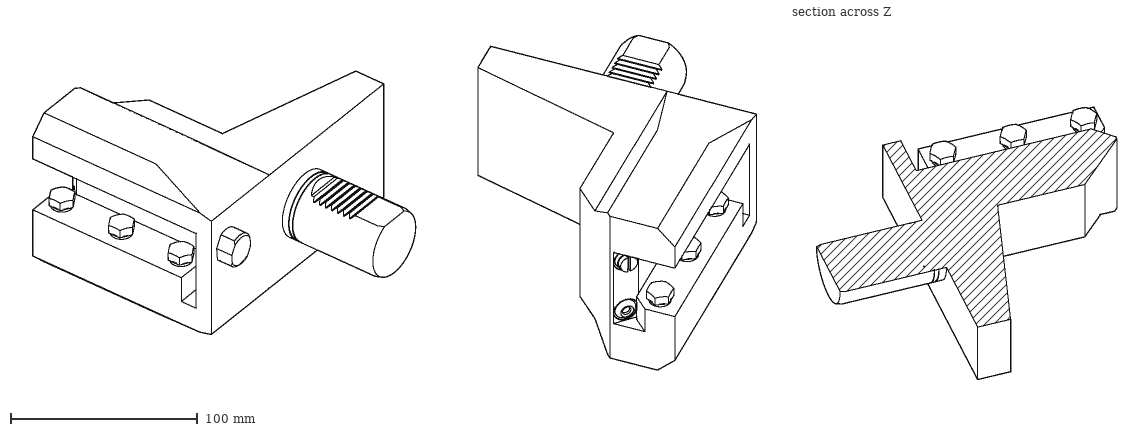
import cadquery as cq
import math


body_length = 120.0
body_depth = 153.0
body_height = 100.0
body_half_height = body_height / 2
front_y = -83.0
back_y = front_y + body_depth
step_y = -31.4
step_chamfer = 12.0
arm_half_height = body_half_height - step_chamfer
arm_tip_length = 18.9
arm_root_length = 42.3
arm_root_y = -17.2
corner_cut = 28.3
front_chamfer = 10.0
taper_angle = 15
taper_length = step_chamfer / math.tan(math.radians(taper_angle))

pocket_end_x = -10.3
pocket_half_height = 25.0
pocket_wall_y = -57.9
ledge_z = -9.0
ledge_end_x = -20.1
ledge_notch_y = -65.7
seat_size = 10.3

bolt_y = -70.4
bolt_count = 3
bolt_pitch = body_length / bolt_count
first_bolt_x = -109.8
collar_diameter = 12.0
collar_height = 2.0
head_flats = 12.9
head_height = 6.7
head_dome_edge_height = 4.9
head_dot_diameter = 0.42

fitting_z = 17.6
bore_diameter = 14.0
bore_depth = 0.7
fitting_diameter = 12.0
nozzle_diameter = 10.0
nozzle_height = 4.4
shoulder_diameter = 10.9
shoulder_height = 1.5
slot_width = 1.5
slot_depth = 1.8
cap_height = 1.8
cap_top_diameter = 7.5
socket_diameter = 4.9
socket_depth = 2.2
countersink_depth = 0.7

shank_radius = 20.0
shank_length = 60.0
tip_chamfer_length = 3.3
tip_chamfer_depth = 0.9
groove_start = 4.2
groove_width = 2.5
groove_diameter = 39.0
flat_z = 17.0
flat_start = 12.2
tooth_count = 7
tooth_pitch = 4.0
tooth_half_width = 1.8
tooth_depth = 1.6
tooth_floor_width = 0.5
first_tooth_x = 15.8

pin_y = -69.9
pin_z = 15.0
pin_radius = 9.8
pin_length = 10.2
pin_chamfer = 1.0
pin_flat_distance = 8.2
pin_flat_angles = (29, -5)


def make_body():
    """L-shaped plan outline limited by the stepped, chamfered end profile and the side tapers."""
    plan = (
        cq.Workplane("XY")
        .workplane(offset=-body_half_height)
        .polyline([
            (0, front_y),
            (0, back_y),
            (-arm_tip_length, back_y),
            (-arm_root_length, arm_root_y),
            (corner_cut - body_length, arm_root_y),
            (-body_length, arm_root_y - corner_cut),
            (-body_length, front_y),
        ])
        .close()
        .extrude(body_height)
    )
    upper_half = [
        (front_y, body_half_height - front_chamfer),
        (front_y + front_chamfer, body_half_height),
        (step_y - step_chamfer, body_half_height),
        (step_y, arm_half_height),
        (back_y, arm_half_height),
    ]
    lower_half = [(y, -z) for y, z in reversed(upper_half)]
    end_profile = (
        cq.Workplane("YZ").workplane(offset=-body_length)
        .polyline(upper_half + lower_half).close().extrude(body_length)
    )
    taper_profile = (
        cq.Workplane("XZ", origin=(0, back_y, 0))
        .polyline([
            (-body_length, body_half_height),
            (-taper_length, body_half_height),
            (0, arm_half_height),
            (0, -arm_half_height),
            (-taper_length, -body_half_height),
            (-body_length, -body_half_height),
        ])
        .close()
        .extrude(body_depth)
    )
    return plan.intersect(end_profile).intersect(taper_profile)


def prism(points, bottom, top):
    """Vertical prism over a plan outline."""
    return cq.Workplane("XY").workplane(offset=bottom).polyline(points).close().extrude(top - bottom)


def make_pocket():
    """Clearance above the ledge, the gap at its far end and the notch beside the slanted seat."""
    seat_corner = (seat_size - body_length, pocket_wall_y)
    seat_edge = (-body_length, pocket_wall_y + seat_size)
    above_ledge = prism(
        [
            seat_edge,
            seat_corner,
            (pocket_end_x, pocket_wall_y),
            (pocket_end_x, front_y),
            (-body_length, front_y),
        ],
        ledge_z,
        pocket_half_height,
    )
    end_gap = prism(
        [
            (ledge_end_x, pocket_wall_y),
            (pocket_end_x, pocket_wall_y),
            (pocket_end_x, front_y),
            (ledge_end_x, front_y),
        ],
        -pocket_half_height,
        ledge_z,
    )
    notch_depth = pocket_wall_y - ledge_notch_y
    notch = prism(
        [
            seat_edge,
            seat_corner,
            (notch_depth - body_length, pocket_wall_y),
            (-body_length, ledge_notch_y),
        ],
        -pocket_half_height,
        ledge_z,
    )
    return above_ledge.union(end_gap).union(notch)


def make_bolt(x):
    """Hexagon bolt head with a domed top standing on a round collar."""
    head_top = collar_height + head_height
    corner_radius = head_flats / math.sqrt(3)
    dot_radius = head_dot_diameter / 2
    rise = head_top - collar_height - head_dome_edge_height
    dome_radius = (corner_radius ** 2 + rise ** 2) / (2 * rise)
    mid_radius = corner_radius / 2
    mid_height = head_top - dome_radius + math.sqrt(dome_radius ** 2 - mid_radius ** 2)
    dome = (
        cq.Workplane("XZ")
        .moveTo(0, 0)
        .lineTo(corner_radius, 0)
        .lineTo(corner_radius, head_top - rise)
        .threePointArc((mid_radius, mid_height), (dot_radius, head_top))
        .lineTo(0, head_top)
        .close()
        .revolve(360, (0, 0, 0), (0, 1, 0))
    )
    hexagon = (
        cq.Workplane("XY").workplane(offset=collar_height)
        .polygon(6, 2 * corner_radius).extrude(head_height)
    )
    collar = cq.Workplane("XY").circle(collar_diameter / 2).extrude(collar_height)
    return hexagon.intersect(dome).union(collar).translate((x, bolt_y, ledge_z))


def seat_plane(z, offset):
    """Plane parallel to the slanted seat; local Y is the part's Z and the normal points outward."""
    center = (seat_size / 2 - body_length, pocket_wall_y + seat_size / 2, z)
    plane = cq.Plane(origin=center, xDir=(1, -1, 0), normal=(-1, -1, 0))
    return cq.Workplane(plane).workplane(offset=offset)


def add_fittings(body):
    """Slotted nozzle on a shoulder above and a countersunk cap below, each in a shallow bore."""
    for z in (fitting_z, -fitting_z):
        body = body.cut(seat_plane(z, -bore_depth).circle(bore_diameter / 2).extrude(bore_depth))
    shoulder = (
        seat_plane(fitting_z, -bore_depth).circle(fitting_diameter / 2)
        .workplane(offset=bore_depth + shoulder_height).circle(shoulder_diameter / 2).loft()
    )
    nozzle = seat_plane(fitting_z, 0).circle(nozzle_diameter / 2).extrude(nozzle_height).union(shoulder)
    slot = (
        seat_plane(fitting_z, nozzle_height - slot_depth)
        .rect(slot_width, fitting_diameter).extrude(slot_depth)
    )
    cap = (
        seat_plane(-fitting_z, -bore_depth).circle(fitting_diameter / 2)
        .workplane(offset=bore_depth + cap_height).circle(cap_top_diameter / 2).loft()
    )
    countersink = (
        seat_plane(-fitting_z, cap_height).circle(cap_top_diameter / 2)
        .workplane(offset=-countersink_depth).circle(socket_diameter / 2).loft()
    )
    socket = (
        seat_plane(-fitting_z, cap_height - socket_depth)
        .circle(socket_diameter / 2).extrude(socket_depth)
    )
    return body.union(nozzle.cut(slot)).union(cap.cut(countersink).cut(socket))


def make_shank():
    """Round shank with a rounded seal in a groove, a clamping flat and a row of teeth."""
    groove_radius = groove_diameter / 2
    groove_end = groove_start + groove_width
    shank = (
        cq.Workplane("XY")
        .polyline([
            (0, 0),
            (0, shank_radius),
            (groove_start, shank_radius),
            (groove_start, groove_radius),
        ])
        .threePointArc((groove_start + groove_width / 2, shank_radius), (groove_end, groove_radius))
        .lineTo(groove_end, shank_radius)
        .lineTo(shank_length - tip_chamfer_length, shank_radius)
        .lineTo(shank_length, shank_radius - tip_chamfer_depth)
        .lineTo(shank_length, 0)
        .close()
        .revolve(360, (0, 0, 0), (1, 0, 0))
    )
    flat_depth = shank_radius - flat_z
    cutter = (
        cq.Workplane("XZ")
        .polyline([
            (flat_start - flat_depth, shank_radius),
            (flat_start, flat_z),
            (shank_length, flat_z),
            (shank_length, shank_radius),
        ])
        .close()
        .extrude(shank_radius, both=True)
    )
    floor_half_width = tooth_floor_width / 2
    for i in range(tooth_count):
        x = first_tooth_x + i * tooth_pitch
        tooth_gap = (
            cq.Workplane("XZ")
            .polyline([
                (x - tooth_half_width, flat_z),
                (x - floor_half_width, flat_z - tooth_depth),
                (x + floor_half_width, flat_z - tooth_depth),
                (x + tooth_half_width, flat_z),
            ])
            .close()
            .extrude(shank_radius, both=True)
        )
        cutter = cutter.union(tooth_gap)
    return shank.cut(cutter)


def make_pin():
    """Round locating pin with two angled flats on each side."""
    pin = cq.Workplane("YZ").circle(pin_radius).extrude(pin_length).faces(">X").chamfer(pin_chamfer)
    for angle in pin_flat_angles:
        slab = (
            cq.Workplane("YZ").rect(2 * pin_flat_distance, 4 * pin_radius).extrude(pin_length)
            .rotate((0, 0, 0), (1, 0, 0), -angle)
        )
        pin = pin.intersect(slab)
    return pin.translate((0, pin_y, pin_z))


result = add_fittings(make_body().cut(make_pocket()))
for bolt_index in range(bolt_count):
    result = result.union(make_bolt(first_bolt_x + bolt_index * bolt_pitch))
result = result.union(make_shank()).union(make_pin())